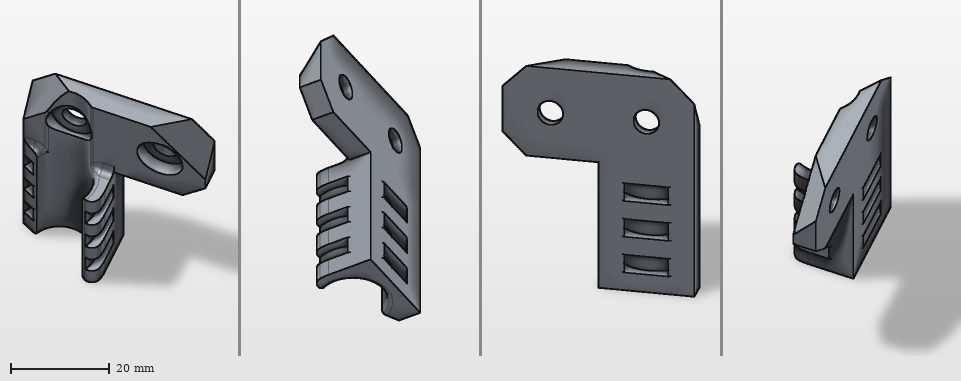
import cadquery as cq
import math

height = 48
width = 40.0
thickness = 5.0
leg_width = width / 2
arm_bottom = 28.0
corner_cut = thickness
front_bevel = 12

bore_x = leg_width / 2
bore_y = -leg_width / 2
bore_radius = 7.0
wall_radius = leg_width / 2
lip_radius = 2.0
cove_radius = 2.0
edge_radius = 1.0

screw_x = (bore_x, width - bore_x)
screw_z = 38.0
screw_diameter = 5.3
head_diameter = 10.0
head_floor = 2.0

strap_clearance = 1.0
strap_inner = bore_radius + strap_clearance
strap_outer = wall_radius + strap_clearance
strap_height = 4.0
strap_pitch = 2 * strap_height
strap_count = 3
first_strap = strap_height

TINY = 0.005


def make_plate():
    """L-shaped plate with the lower corner chamfered at the end of the arm."""
    outline = [
        (0, 0),
        (leg_width, 0),
        (leg_width, arm_bottom),
        (width - corner_cut, arm_bottom),
        (width, arm_bottom + corner_cut),
        (width, height),
        (0, height),
    ]
    return cq.Workplane("XZ").polyline(outline).close().extrude(thickness)


def corner_cutter(corner_x, inward):
    """Wedge that slopes an upper corner, widening from the rear face to the front."""
    def triangle(leg):
        return [(corner_x, height), (corner_x + inward * leg, height), (corner_x, height - leg)]

    return (
        cq.Workplane("XZ")
        .polyline(triangle(corner_cut)).close()
        .workplane(offset=thickness)
        .polyline(triangle(front_bevel)).close()
        .loft(ruled=True)
    )


def make_clamp():
    """Clamp block, square on the left and ending in a rounded lip on the right.

    The lip is cut off along the line from the plate corner through the bore axis.
    """
    slope = math.atan2(-bore_y - thickness, bore_x)
    along = math.sqrt((wall_radius - lip_radius) ** 2 - lip_radius ** 2)
    cos, sin = math.cos(slope), math.sin(slope)
    lip_start = (bore_x + along * cos, bore_y - along * sin)
    nose_x = lip_start[0] + lip_radius * sin
    nose_y = lip_start[1] + lip_radius * cos
    to_nose = math.atan2(nose_y - bore_y, nose_x - bore_x)
    lip_end = (bore_x + wall_radius * math.cos(to_nose), bore_y + wall_radius * math.sin(to_nose))
    middle = (to_nose - slope - math.pi / 2) / 2
    lip_middle = (nose_x + lip_radius * math.cos(middle), nose_y + lip_radius * math.sin(middle))
    wall_middle = (
        bore_x + wall_radius * math.cos(to_nose / 2),
        bore_y + wall_radius * math.sin(to_nose / 2),
    )
    return (
        cq.Workplane("XY")
        .moveTo(0, -thickness)
        .lineTo(0, bore_y)
        .lineTo(bore_x, bore_y)
        .lineTo(*lip_start)
        .threePointArc(lip_middle, lip_end)
        .threePointArc(wall_middle, (leg_width, bore_y))
        .lineTo(leg_width, -thickness)
        .close()
        .extrude(arm_bottom)
    )


def left_trimmer():
    """Wedge below the slanted cut-off line on the left side of the bore."""
    return (
        cq.Workplane("XY")
        .polyline([(0, -thickness), (bore_x, bore_y), (0, bore_y)]).close()
        .extrude(arm_bottom + cove_radius)
    )


def cylinder_z(radius, bottom, length):
    return (
        cq.Workplane("XY", origin=(bore_x, bore_y, bottom))
        .circle(radius)
        .extrude(length)
    )


def strap_channel(bottom):
    outer = cylinder_z(strap_outer, bottom, strap_height)
    return outer.cut(cylinder_z(strap_inner, bottom, strap_height))


def screw_hole(x):
    """Through hole with a counterbore open to the front."""
    axis = cq.Workplane("XZ", origin=(x, 0, screw_z))
    hole = axis.circle(screw_diameter / 2).extrude(thickness)
    head = axis.workplane(offset=head_floor).circle(head_diameter / 2).extrude(thickness)
    return hole.union(head)


def on_bore(edge):
    """True for edges on the bore surface, except its upper end and the two lip edges."""
    for fraction in (0.1, 0.5, 0.9):
        point = edge.positionAt(fraction)
        if abs(math.hypot(point.x - bore_x, point.y - bore_y) - bore_radius) > TINY:
            return False
    box = edge.BoundingBox()
    return box.zmin < height - TINY and not (box.zmin < TINY and box.zmax > TINY)


def on_cove_root(edge):
    """True for the straight edges where the top of the clamp meets the plate."""
    center = edge.Center()
    return (
        edge.geomType() == "LINE"
        and abs(center.y + thickness) < TINY
        and abs(center.z - arm_bottom) < TINY
        and center.x < leg_width
    )


def fillet_where(body, selects, radius):
    edges = [edge for edge in body.edges().vals() if selects(edge)]
    return body.newObject(edges).fillet(radius)


result = make_plate().union(make_clamp())
result = result.cut(cylinder_z(bore_radius, 0, height))
result = fillet_where(result, on_bore, edge_radius)
result = fillet_where(result, on_cove_root, cove_radius)
result = result.cut(left_trimmer())
result = result.cut(corner_cutter(0, 1)).cut(corner_cutter(width, -1))
for x in screw_x:
    result = result.cut(screw_hole(x))
for index in range(strap_count):
    result = result.cut(strap_channel(first_strap + index * strap_pitch))